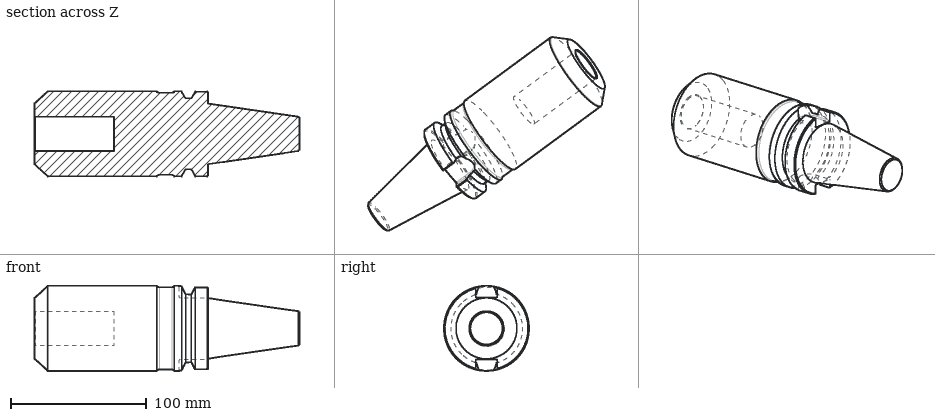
import cadquery as cq
import math

length = 195.4
outer_radius = 63.0 / 2
neck_radius = 61.0 / 2

nose_radius = 22.5
body_start = 9.8
body_edge_chamfer = 0.5
body_end = 91.0
neck_step = outer_radius - neck_radius
neck_fillet_radius = 2.0

collar_start = 102.2
collar_end = 108.5
groove_radius = 26.4
groove_start = 111.4
groove_end = 115.7
flange_start = 118.5
flange_end = 128.0
flange_edge_chamfer = 0.8

taper_base_radius = 22.5
taper_slope = 7 / 24 / 2
tail_chamfer = 1.0

bore_radius = 25.0 / 2
bore_depth = 58.6
bore_chamfer = 0.5

slot_width = 16.0
slot_floor = 22.7
slot_end = 106.5
slot_floor_fillet = 1.0
slot_rim_chamfer = 0.5


def turned_body():
    """Revolve the half profile of the holder about X."""
    taper_end = length - tail_chamfer
    taper_end_radius = taper_base_radius - taper_slope * (taper_end - flange_end)
    tangent = neck_fillet_radius * math.tan(math.radians(45 / 2))
    offset = tangent * math.sqrt(0.5)
    front = [
        (0, 0),
        (0, nose_radius),
        (body_start - body_edge_chamfer, outer_radius - body_edge_chamfer),
        (body_start, outer_radius),
        (body_end - neck_step, outer_radius),
        (body_end - offset, neck_radius + offset),
    ]
    rear = [
        (collar_start + neck_step, outer_radius),
        (collar_end, outer_radius),
        (groove_start, groove_radius),
        (groove_end, groove_radius),
        (flange_start, outer_radius),
        (flange_end - flange_edge_chamfer, outer_radius),
        (flange_end, outer_radius - flange_edge_chamfer),
        (flange_end, taper_base_radius),
        (taper_end, taper_end_radius),
        (length, taper_end_radius - tail_chamfer),
        (length, 0),
    ]
    profile = (
        cq.Workplane("XY")
        .polyline(front)
        .tangentArcPoint((body_end + tangent, neck_radius), relative=False)
        .lineTo(collar_start - tangent, neck_radius)
        .tangentArcPoint((collar_start + offset, neck_radius + offset), relative=False)
    )
    for x, radius in rear:
        profile = profile.lineTo(x, radius)
    return profile.close().revolve(360, (0, 0, 0), (1, 0, 0))


def tool_bore():
    """Blind bore from the nose with a chamfered mouth."""
    mouth_radius = bore_radius + bore_chamfer
    profile = [
        (0, 0),
        (0, mouth_radius),
        (bore_chamfer, bore_radius),
        (bore_depth, bore_radius),
        (bore_depth, 0),
    ]
    return cq.Workplane("XY").polyline(profile).close().revolve(360, (0, 0, 0), (1, 0, 0))


def drive_slot():
    """Round-ended slot cutter on the +Z side, open toward the taper."""
    half_width = slot_width / 2
    arc_center = slot_end + half_width
    cutter = (
        cq.Workplane("XY", origin=(0, 0, slot_floor))
        .moveTo(length, -half_width)
        .lineTo(arc_center, -half_width)
        .threePointArc((slot_end, 0), (arc_center, half_width))
        .lineTo(length, half_width)
        .close()
        .extrude(outer_radius)
    )
    return cutter.faces("<Z").edges("not >X").fillet(slot_floor_fillet)


result = turned_body().cut(tool_bore())
for angle in (0, 180):
    result = result.cut(drive_slot().rotate((0, 0, 0), (1, 0, 0), angle))

upper_rims = cq.selectors.BoxSelector(
    (flange_start, -slot_width, groove_radius),
    (flange_end, slot_width, outer_radius),
)
lower_rims = cq.selectors.BoxSelector(
    (flange_start, -slot_width, -outer_radius),
    (flange_end, slot_width, -groove_radius),
)
for rims in (upper_rims, lower_rims):
    result = result.edges("|X").edges(rims).chamfer(slot_rim_chamfer)